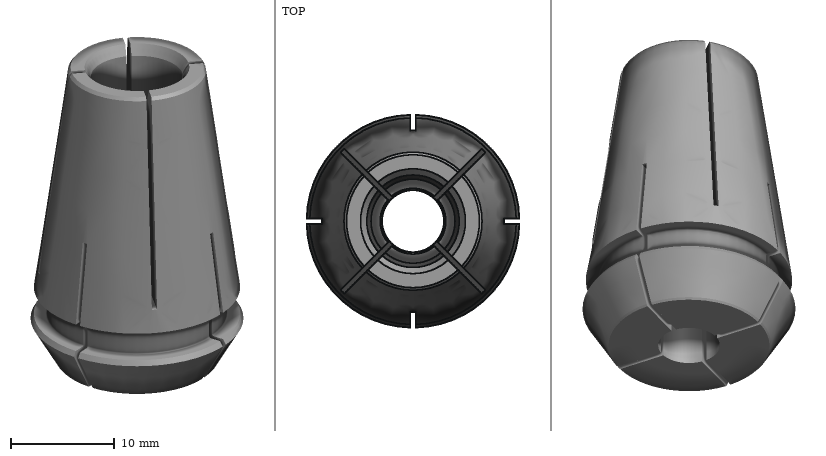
import cadquery as cq
import math

length = 31.5
collar_radius = 10.3
collar_angle = 30.0
collar_widest_z = 4.28
collar_top_z = 4.8
collar_top_chamfer = 0.3
bottom_face_radius = 7.78
bottom_chamfer_height = 0.2

neck_radius = 8.7
neck_corner_radius = 0.15
body_base_z = 7.65
body_base_radius = 10.0
body_half_angle = 8.0
top_chamfer_height = 0.3
top_chamfer_width = 0.25

bore_radius = 6.0 / 2
bore_edge_chamfer = 0.2
counterbore_radius = 4.47
counterbore_floor_z = 18.9
counterbore_floor_radius = 4.05
mouth_radius = 5.07
bore_cone_angle = 30.0

slit_width = 0.5
slit_count = 4
lower_slit_top_z = 16.05
upper_slit_bottom_z = 10.02


def cone_run(height, angle):
    """Radius change of a cone over a height, for an angle from the axis."""
    return height * math.tan(math.radians(angle))


def cone_height(run, angle):
    """Height of a cone over a radius change, for an angle from the axis."""
    return run / math.tan(math.radians(angle))


def make_body():
    """Solid of revolution: clamping collar, neck groove and tapered body."""
    collar_cone_base_radius = collar_radius - cone_run(
        collar_widest_z - bottom_chamfer_height, collar_angle
    )
    taper_top_z = length - top_chamfer_height
    taper_top_radius = body_base_radius - cone_run(taper_top_z - body_base_z, body_half_angle)
    arc_offset = neck_corner_radius * (1 - math.sqrt(0.5))

    profile = (
        cq.Workplane("XZ")
        .moveTo(0, 0)
        .lineTo(bottom_face_radius, 0)
        .lineTo(collar_cone_base_radius, bottom_chamfer_height)
        .lineTo(collar_radius, collar_widest_z)
        .lineTo(collar_radius - collar_top_chamfer, collar_top_z)
        .lineTo(neck_radius + neck_corner_radius, collar_top_z)
        .threePointArc(
            (neck_radius + arc_offset, collar_top_z + arc_offset),
            (neck_radius, collar_top_z + neck_corner_radius),
        )
        .lineTo(neck_radius, body_base_z - neck_corner_radius)
        .threePointArc(
            (neck_radius + arc_offset, body_base_z - arc_offset),
            (neck_radius + neck_corner_radius, body_base_z),
        )
        .lineTo(body_base_radius, body_base_z)
        .lineTo(taper_top_radius, taper_top_z)
        .lineTo(taper_top_radius - top_chamfer_width, length)
        .lineTo(0, length)
        .close()
    )
    return profile.revolve(360, (0, 0, 0), (0, 1, 0))


def make_bore():
    """Through bore with a chamfered step up to a wider bore and a conical mouth."""
    floor_cone_height = cone_height(counterbore_radius - counterbore_floor_radius, bore_cone_angle)
    mouth_height = cone_height(mouth_radius - counterbore_radius, bore_cone_angle)

    profile = (
        cq.Workplane("XZ")
        .moveTo(0, 0)
        .lineTo(bore_radius, 0)
        .lineTo(bore_radius, counterbore_floor_z - bore_edge_chamfer)
        .lineTo(bore_radius + bore_edge_chamfer, counterbore_floor_z)
        .lineTo(counterbore_floor_radius, counterbore_floor_z)
        .lineTo(counterbore_radius, counterbore_floor_z + floor_cone_height)
        .lineTo(counterbore_radius, length - mouth_height)
        .lineTo(mouth_radius, length)
        .lineTo(0, length)
        .close()
    )
    return profile.revolve(360, (0, 0, 0), (0, 1, 0))


def cut_slits(solid, bottom_z, top_z, first_angle):
    """Cut evenly spaced radial slits between two heights."""
    slit = cq.Workplane("XY", origin=(0, 0, bottom_z)).box(
        length, slit_width, top_z - bottom_z, centered=(True, True, False)
    )
    for index in range(slit_count // 2):
        angle = first_angle + index * 360 / slit_count
        solid = solid.cut(slit.rotate((0, 0, 0), (0, 0, 1), angle))
    return solid


collet = make_body().cut(make_bore())
collet = cut_slits(collet, 0, lower_slit_top_z, 0)
result = cut_slits(collet, upper_slit_bottom_z, length, 180 / slit_count)